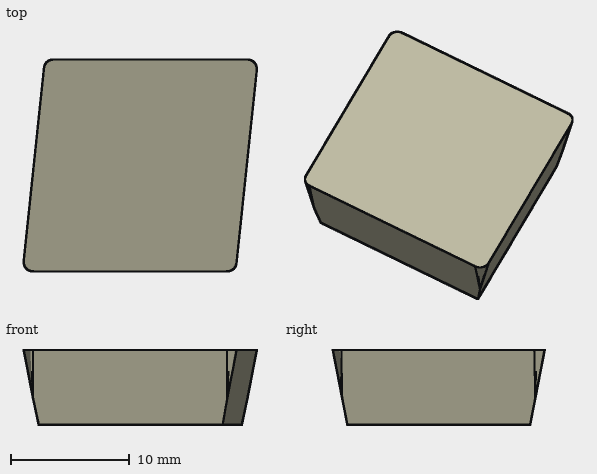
import cadquery as cq
import math

overall_length = 19.64
thickness = 6.3
acute_angle = 84.0
clearance_angle = 11.0
corner_radius = 0.8

clearance_slope = math.tan(math.radians(clearance_angle))
cone_depth = corner_radius / clearance_slope
bottom_inset = thickness * clearance_slope

centre_span_x = overall_length - 2 * corner_radius
centre_span_y = centre_span_x * math.tan(math.radians(acute_angle / 2))
top_width = centre_span_y + 2 * corner_radius


def rhombus_corners(width):
    """Corners of a rhombus with the given distance between opposite sides."""
    half_side = width / math.sin(math.radians(acute_angle)) / 2
    half_lean = width / math.tan(math.radians(acute_angle)) / 2
    half_width = width / 2
    return [
        (-half_side - half_lean, -half_width),
        (half_side - half_lean, -half_width),
        (half_side + half_lean, half_width),
        (-half_side + half_lean, half_width),
    ]


def sharp_body():
    """Tapered rhombic block with sharp corners, bottom face at Z = 0."""
    return (
        cq.Workplane("XY")
        .polyline(rhombus_corners(top_width - 2 * bottom_inset))
        .close()
        .workplane(offset=thickness)
        .polyline(rhombus_corners(top_width))
        .close()
        .loft(ruled=True)
    )


def tangent_point(corner, centre, neighbour):
    """Foot of the perpendicular from an arc centre to a top edge."""
    edge_x = neighbour[0] - corner[0]
    edge_y = neighbour[1] - corner[1]
    along = (centre[0] - corner[0]) * edge_x + (centre[1] - corner[1]) * edge_y
    fraction = along / (edge_x**2 + edge_y**2)
    return (corner[0] + fraction * edge_x, corner[1] + fraction * edge_y)


def corner_block(corner, centre, previous_tangent, next_tangent):
    """Upright block from an arc centre out to the sharp corner."""
    return (
        cq.Workplane("XY", origin=(0, 0, thickness))
        .polyline([centre, previous_tangent, corner, next_tangent])
        .close()
        .extrude(-cone_depth)
    )


def cone_sector(centre, start_tangent, sweep_angle):
    """Sector of a cone, point down, swept counterclockwise from a tangent point."""
    start_direction = (start_tangent[0] - centre[0], start_tangent[1] - centre[1], 0)
    profile_normal = (start_direction[1], -start_direction[0], 0)
    profile_plane = cq.Plane(
        origin=(centre[0], centre[1], thickness),
        xDir=start_direction,
        normal=profile_normal,
    )
    return (
        cq.Workplane(profile_plane)
        .polyline([(0, 0), (corner_radius, 0), (0, -cone_depth)])
        .close()
        .revolve(sweep_angle, (0, 0), (0, 1))
    )


corners = rhombus_corners(top_width)
arc_centres = rhombus_corners(centre_span_y)
obtuse_angle = 180 - acute_angle
arc_sweeps = [obtuse_angle, acute_angle, obtuse_angle, acute_angle]

result = sharp_body()
for index, corner in enumerate(corners):
    centre = arc_centres[index]
    next_corner = corners[(index + 1) % len(corners)]
    previous_tangent = tangent_point(corner, centre, corners[index - 1])
    next_tangent = tangent_point(corner, centre, next_corner)
    result = result.cut(corner_block(corner, centre, previous_tangent, next_tangent))
    result = result.union(cone_sector(centre, previous_tangent, arc_sweeps[index]))